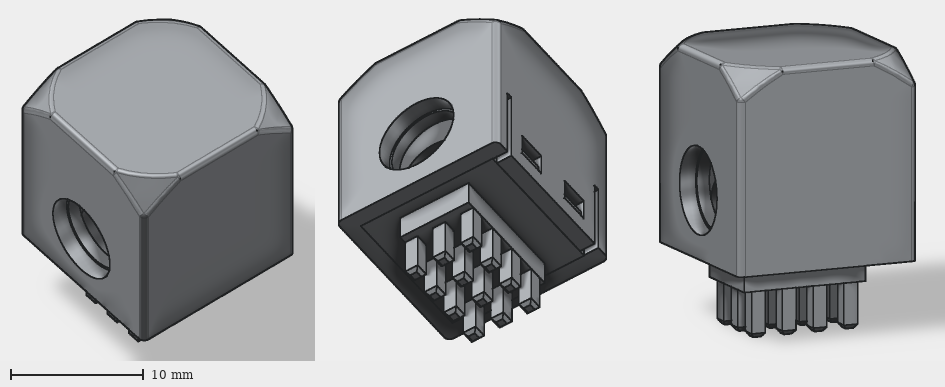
import cadquery as cq

housing_side = 14.77
top_z = 21.6
housing_bottom_z = 5.75
edge_radius = 0.5
wall = 1.35
half_side = housing_side / 2
core_side = housing_side - 2 * wall
half_core = core_side / 2
core_top_z = top_z - wall

cone_top_radius = 8.05
cone_drop = 4.32

port_z = 11.05
port_diameter = 6.8

seat_diameter = 6.4
seat_depth = 1.04
bore_diameter = 6.0
bore_z = 9.03

slot_width = 0.52
slot_height = 6.48
slot_y = 5.75
window_width = 2.55
window_height = 1.92
window_bottom_z = housing_bottom_z + 1.55
window_y = 2.8
window_mid_z = window_bottom_z + window_height / 2

latch_gap = 0.1
latch_recess = 0.17
latch_flat_height = 0.71
latch_ramp_height = 1.05
latch_width = window_width - 2 * latch_gap
latch_projection = wall - latch_recess

pin_pitch = 2.55
pin_columns = 3
pin_rows = 4
pin_width = 1.15
pin_tip_width = 0.6
pin_tip_height = 0.35
block_bottom_z = 3.59
block_width = 6.29
block_length = 10.07


def box_on_floor(width, length, bottom_z, top):
    return (
        cq.Workplane("XY", origin=(0, 0, bottom_z))
        .rect(width, length)
        .extrude(top - bottom_z)
    )


def cylinder_along_y(diameter, center_z, start_y, end_y):
    return (
        cq.Workplane("XZ", origin=(0, end_y, center_z))
        .circle(diameter / 2)
        .extrude(end_y - start_y)
    )


def make_shell():
    """Outer block with conical top corners and rounded upper and upright edges."""
    block = box_on_floor(housing_side, housing_side, housing_bottom_z, top_z)
    cone = (
        cq.Workplane("XZ")
        .moveTo(0, top_z)
        .lineTo(cone_top_radius, top_z)
        .lineTo(cone_top_radius + cone_drop, top_z - cone_drop)
        .lineTo(cone_top_radius + cone_drop, housing_bottom_z)
        .lineTo(0, housing_bottom_z)
        .close()
        .revolve(360, (0, 0), (0, 1))
    )
    return block.intersect(cone).edges("not(<Z)").fillet(edge_radius)


def make_housing():
    housing = make_shell()

    cavity = box_on_floor(core_side, core_side, housing_bottom_z, core_top_z)
    port = cylinder_along_y(port_diameter, port_z, -half_side, half_side)
    housing = housing.cut(cavity).cut(port)

    wall_center_x = -half_side + wall / 2
    for side in (-1, 1):
        slot = cq.Workplane("XY").box(wall, slot_width, slot_height).translate(
            (wall_center_x, side * slot_y, housing_bottom_z + slot_height / 2)
        )
        window = cq.Workplane("XY").box(wall, window_width, window_height).translate(
            (wall_center_x, side * window_y, window_mid_z)
        )
        housing = housing.cut(slot).cut(window)
    return housing


def make_latch(center_y):
    """Wedge with a ramped upper face, standing out from the -X face of the insert."""
    root_x = -half_core
    face_x = root_x - latch_projection
    flat_top_z = window_bottom_z + latch_flat_height
    return (
        cq.Workplane("XZ", origin=(0, center_y + latch_width / 2, 0))
        .moveTo(root_x, window_bottom_z)
        .lineTo(face_x, window_bottom_z)
        .lineTo(face_x, flat_top_z)
        .lineTo(root_x, flat_top_z + latch_ramp_height)
        .close()
        .extrude(latch_width)
    )


def make_pin(center_x, center_y):
    shank = box_on_floor(pin_width, pin_width, pin_tip_height, block_bottom_z)
    tip = (
        cq.Workplane("XY")
        .rect(pin_tip_width, pin_tip_width)
        .workplane(offset=pin_tip_height)
        .rect(pin_width, pin_width)
        .loft()
    )
    return shank.union(tip).translate((center_x, center_y, 0))


def make_insert():
    """Core that fills the housing cavity, with its latches, base block and pins."""
    insert = box_on_floor(core_side, core_side, housing_bottom_z, core_top_z)
    insert = insert.union(box_on_floor(block_width, block_length, block_bottom_z, housing_bottom_z))

    for side in (-1, 1):
        insert = insert.union(make_latch(side * window_y))

    for column in range(pin_columns):
        for row in range(pin_rows):
            pin_x = (column - (pin_columns - 1) / 2) * pin_pitch
            pin_y = (row - (pin_rows - 1) / 2) * pin_pitch
            insert = insert.union(make_pin(pin_x, pin_y))

    bore_end_y = half_core - seat_depth
    front_seat = cylinder_along_y(seat_diameter, port_z, -half_core, -bore_end_y)
    bore = cylinder_along_y(bore_diameter, bore_z, -bore_end_y, bore_end_y)
    back_seat = cylinder_along_y(seat_diameter, port_z, bore_end_y, half_core)
    return insert.cut(front_seat).cut(bore).cut(back_seat)


housing = make_housing()
insert = make_insert()

result = cq.Compound.makeCompound([housing.solids().val(), insert.solids().val()])